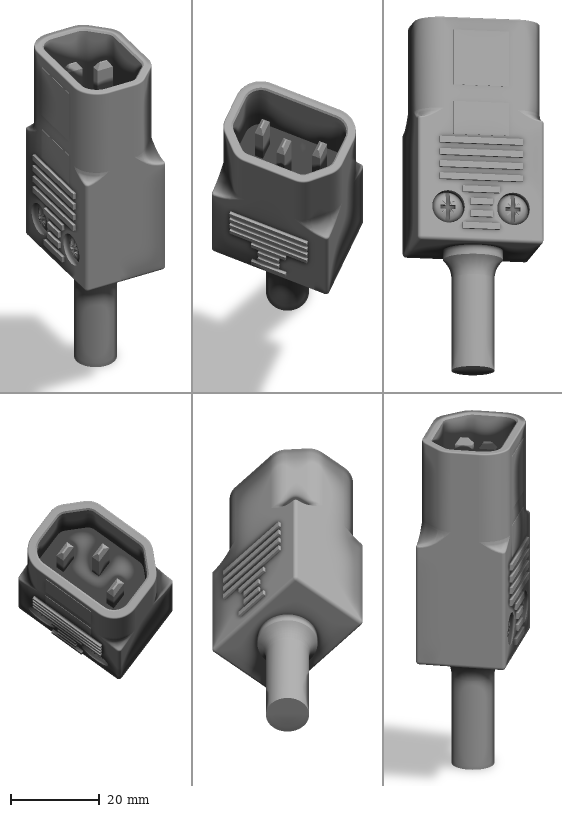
import cadquery as cq
import math

total_height = 79.3

body_width = 28.8
body_depth = 20.6
body_bottom = 27.7
body_edge_radius = 0.8

shoulder_z = 56.2
round_radius = 5.95
bevel_leg = 6.2
bevel_blend_radius = 4.75
round_cove_radius = 2.15
bevel_cove_radius = 4.0
shoulder_edge_radius = 0.4
rim_radius = 0.3

wall = 2.15
mouth_chamfer = 0.4
socket_depth = 17.45

pin_width = 2.0
pin_depth = 4.0
side_pin_top = 74.6
centre_pin_top = 77.75
pin_taper_x = 0.8
pin_taper_y = 1.0
pin_taper_height = 1.4
side_pin_x = 7.1
pin_offset_y = 2.0

panel_width = 12.8
panel_thickness = 0.1
panels = [(63.7, 76.4), (52.3, 59.9)]

rib_widths = [19.0] * 4 + [8.5, 5.15, 5.15, 8.5]
rib_height = 1.4
rib_thickness = 0.7
top_rib_z = 50.85
rib_span = 19.7

screw_x = 7.45
screw_z = 35.5
screw_hole_diameter = 7.45
screw_hole_depth = 2.4
screw_head_diameter = 7.0
screw_rim_depth = 1.6
screw_dome_depth = 0.3
slot_width = 0.95
cross_length = 3.4
recess_depth = 1.75
mark_length = 3.8
mark_width = 0.2
mark_depth = 0.8

collar_diameter = 13.6
collar_bottom = 25.55
flare_bottom = 21.3
cable_diameter = 9.75

half_width = body_width / 2
half_depth = body_depth / 2
front_y = -half_depth

overlap = 0.8
skin_tolerance = 0.01
cut_reach = 9.5


def block(width, y_start, y_end, z_start, z_end):
    """Rectangular block centred on X, between two Y and two Z positions."""
    centred = cq.Workplane("XY").box(width, y_end - y_start, z_end - z_start)
    return centred.translate((0, (y_start + y_end) / 2, (z_start + z_end) / 2))


sin45 = math.sin(math.pi / 4)
bevel_reach = bevel_leg + bevel_blend_radius * math.tan(math.pi / 8)
blend_side_x = half_width - bevel_blend_radius * (1 - sin45)
blend_side_y = half_depth - bevel_reach + bevel_blend_radius * sin45
blend_back_x = half_width - bevel_reach + bevel_blend_radius * sin45
blend_back_y = half_depth - bevel_blend_radius * (1 - sin45)
blend_mid_long = bevel_blend_radius * math.sin(math.pi / 8)
blend_mid_short = bevel_blend_radius * (1 - math.cos(math.pi / 8))
round_mid = round_radius * (1 - sin45)


def add_bevel(path):
    """Continue a path from the +X side round the bevelled corner to the +Y side."""
    return (
        path.threePointArc(
            (half_width - blend_mid_short, half_depth - bevel_reach + blend_mid_long),
            (blend_side_x, blend_side_y),
        )
        .lineTo(blend_back_x, blend_back_y)
        .threePointArc(
            (half_width - bevel_reach + blend_mid_long, half_depth - blend_mid_short),
            (half_width - bevel_reach, half_depth),
        )
    )


def shroud_outline(inset):
    """Closed face of the shroud section, inset evenly from the outside."""
    half = (
        cq.Workplane("XY")
        .moveTo(0, -half_depth)
        .lineTo(half_width - round_radius, -half_depth)
        .threePointArc(
            (half_width - round_mid, -half_depth + round_mid),
            (half_width, -half_depth + round_radius),
        )
        .lineTo(half_width, half_depth - bevel_reach)
    )
    outline = add_bevel(half).lineTo(0, half_depth).mirrorY()
    return outline.offset2D(-inset)


def corner_cut(path, start_y, cove_radius):
    """Stock outside one shroud corner, coved where it meets the shoulder."""
    cove_top = shoulder_z + cove_radius
    cove_mid = cove_radius * (1 - sin45)
    profile = (
        cq.Workplane("XZ", origin=(half_width, start_y, 0))
        .moveTo(0, total_height + overlap)
        .lineTo(0, cove_top)
        .threePointArc((cove_mid, shoulder_z + cove_mid), (cove_radius, shoulder_z))
        .lineTo(cut_reach, shoulder_z)
        .lineTo(cut_reach, total_height + overlap)
        .close()
    )
    return profile.sweep(path)


bevel_path = add_bevel(cq.Workplane("XY").moveTo(half_width, half_depth - bevel_reach))
round_path = (
    cq.Workplane("XY")
    .moveTo(half_width, -half_depth + round_radius)
    .threePointArc(
        (half_width - round_mid, -half_depth + round_mid),
        (half_width - round_radius, -half_depth),
    )
)

body = block(body_width, -half_depth, half_depth, body_bottom, total_height)
body = body.edges("|Z or <Z").fillet(body_edge_radius)
for cut in (
    corner_cut(bevel_path, half_depth - bevel_reach, bevel_cove_radius),
    corner_cut(round_path, -half_depth + round_radius, round_cove_radius),
):
    body = body.cut(cut).cut(cut.mirror("YZ"))


def on_shoulder_edge(edge):
    """True for edges where a cove or shoulder runs out through the sides of the body."""
    middle = edge.Center()
    x, y = abs(middle.x), abs(middle.y)
    at_cove_height = shoulder_z - overlap < middle.z < shoulder_z + bevel_cove_radius
    on_side = x > half_width - skin_tolerance or y > half_depth - skin_tolerance
    on_corner = x + y > half_width + half_depth - body_edge_radius
    return at_cove_height and (on_side or on_corner)


body = body.edges().filter(on_shoulder_edge).fillet(shoulder_edge_radius)
body = body.faces(">Z").edges().fillet(rim_radius)

socket_floor = total_height - socket_depth
socket = shroud_outline(wall).extrude(socket_depth).translate((0, 0, socket_floor))
mouth = (
    shroud_outline(wall - mouth_chamfer)
    .extrude(-mouth_chamfer, taper=45)
    .translate((0, 0, total_height))
)
body = body.cut(socket).cut(mouth)


def contact_pin(x, y, pin_top):
    """Flat pin rising from the socket floor to a tapered tip."""
    shank_top = pin_top - pin_taper_height
    shank = (
        cq.Workplane("XY", origin=(x, y, socket_floor - overlap))
        .rect(pin_width, pin_depth)
        .extrude(shank_top - socket_floor + overlap)
    )
    tip = (
        cq.Workplane("XY", origin=(x, y, shank_top))
        .rect(pin_width, pin_depth)
        .workplane(offset=pin_taper_height)
        .rect(pin_width - 2 * pin_taper_x, pin_depth - 2 * pin_taper_y)
        .loft(ruled=True)
    )
    return shank.union(tip)


body = body.union(contact_pin(0, pin_offset_y, centre_pin_top))
for x in (-side_pin_x, side_pin_x):
    body = body.union(contact_pin(x, -pin_offset_y, side_pin_top))

for panel_bottom, panel_top in panels:
    panel = block(panel_width, front_y - panel_thickness, front_y + overlap, panel_bottom, panel_top)
    body = body.union(panel)

rib_pitch = rib_span / (len(rib_widths) - 1)
for index, rib_width in enumerate(rib_widths):
    rib_bottom = top_rib_z - index * rib_pitch - rib_height / 2
    rib = block(rib_width, front_y - rib_thickness, front_y + overlap, rib_bottom, rib_bottom + rib_height)
    body = body.union(rib).union(rib.mirror("XZ"))


def screw_plane(x, depth):
    """Workplane on a screw axis, a given depth below the -Y face, facing outward."""
    return cq.Workplane("XZ", origin=(x, front_y + depth, screw_z))


def screw_cylinder(x, diameter):
    """Cylinder from the floor of a screw hole out to the -Y face."""
    return screw_plane(x, screw_hole_depth).circle(diameter / 2).extrude(screw_hole_depth)


def screw_head(x):
    """Domed head, slotted from edge to edge, with a cross recess and diagonal marks."""
    head_radius = screw_head_diameter / 2
    dome_height = screw_rim_depth - screw_dome_depth
    dome_radius = (head_radius**2 + dome_height**2) / (2 * dome_height)
    dome = screw_plane(x, screw_dome_depth + dome_radius).sphere(dome_radius)
    head = screw_cylinder(x, screw_head_diameter).intersect(dome)

    recess = screw_plane(x, recess_depth)
    slot = recess.rect(slot_width, screw_head_diameter).extrude(recess_depth)
    cross = recess.rect(cross_length, slot_width).extrude(recess_depth)
    head = head.cut(slot).cut(cross)
    marks = screw_plane(x, mark_depth)
    for angle in (45, -45):
        mark = marks.transformed(rotate=(0, 0, angle)).rect(mark_length, mark_width).extrude(mark_depth)
        head = head.cut(mark)
    return head


for x in (-screw_x, screw_x):
    body = body.cut(screw_cylinder(x, screw_hole_diameter))
    body = body.union(screw_head(x))

collar_radius = collar_diameter / 2
cable_radius = cable_diameter / 2
flare_height = collar_bottom - flare_bottom
flare_drop = collar_radius - cable_radius
flare_radius = (flare_height**2 + flare_drop**2) / (2 * flare_drop)
flare_half_angle = math.asin(flare_height / flare_radius) / 2
flare_mid = (
    cable_radius + flare_radius * (1 - math.cos(flare_half_angle)),
    flare_bottom + flare_radius * math.sin(flare_half_angle),
)
cable = (
    cq.Workplane("XZ")
    .lineTo(cable_radius, 0)
    .lineTo(cable_radius, flare_bottom)
    .threePointArc(flare_mid, (collar_radius, collar_bottom))
    .lineTo(collar_radius, body_bottom + overlap)
    .lineTo(0, body_bottom + overlap)
    .close()
    .revolve(360, (0, 0, 0), (0, 1, 0))
)

result = body.union(cable)